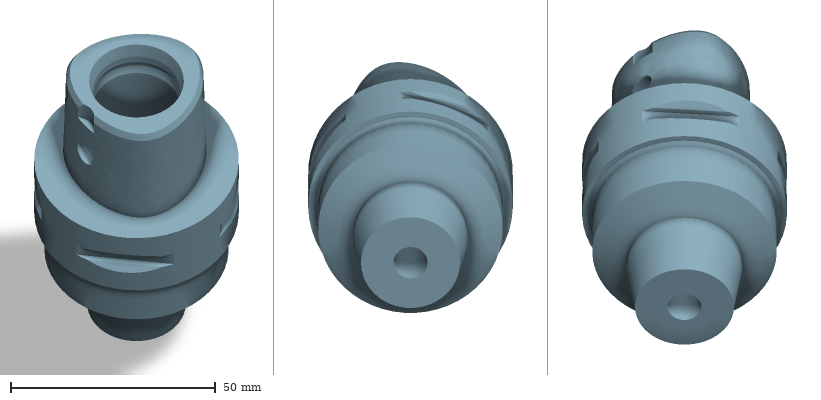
import cadquery as cq
import math

total_height = 85.0
nose_cone_top = 14.4
neck_top = 17.2
body_bottom = 21.0
body_top = 34.0
flange_bottom = 35.0
flange_top = 55.0

nose_radius = 12.1
neck_radius = 14.0
body_radius = 22.5
relief_radius = 23.55
flange_radius = 25.0

shank_radius = 17.5
lobe_height = 1.0
taper_ratio = 1 / 20
chamfer_height = 1.6
chamfer_depth = 0.9
outline_steps = 48

mouth_radius = 11.6
throat_radius = 10.5
mouth_depth = 3.4
groove_radius = 11.6
groove_top_depth = 5.5
groove_wall_bottom_depth = 7.9
groove_bottom_depth = 9.7
throat_bottom_depth = 30.0
inner_radius = 7.3
inner_depth = 34.0
through_radius = 4.2

notch_radius = 4.1
notch_center_y = -18.3
notch_depth = 5.35
cross_hole_radius = 3.1
cross_hole_height = 69.1

slot_count = 4
slot_floor_distance = 21.9
slot_flare_distance = 23.2
slot_height = 45.05
slot_floor_width = 4.1
slot_mouth_width = 6.9


def make_turned_body():
    """Nose, neck, body and flange as one revolved profile."""
    profile = [
        (0, 0),
        (nose_radius, 0),
        (neck_radius, nose_cone_top),
        (neck_radius, neck_top),
        (body_radius, body_bottom),
        (body_radius, body_top),
        (relief_radius, flange_bottom),
        (flange_radius, flange_bottom),
        (flange_radius, flange_top),
        (0, flange_top),
    ]
    return cq.Workplane("XZ").polyline(profile).close().revolve(360, (0, 0), (0, 1))


def shank_outline(radius, height):
    """Closed constant-width outline: its tangents lie at radius - lobe_height * cos(3 * angle)."""
    points = []
    for step in range(outline_steps):
        angle = 2 * math.pi * step / outline_steps
        reach = radius - lobe_height * math.cos(3 * angle)
        slide = 3 * lobe_height * math.sin(3 * angle)
        x = reach * math.sin(angle) + slide * math.cos(angle)
        y = slide * math.sin(angle) - reach * math.cos(angle)
        points.append(cq.Vector(x, y, height))
    return cq.Wire.assembleEdges([cq.Edge.makeSpline(points, periodic=True)])


def make_shank():
    """Tapered shank with a chamfer around its top."""
    chamfer_bottom = total_height - chamfer_height
    upper_radius = shank_radius - (chamfer_bottom - flange_top) * taper_ratio / 2
    base = shank_outline(shank_radius, flange_top)
    shoulder = shank_outline(upper_radius, chamfer_bottom)
    tip = shank_outline(upper_radius - chamfer_depth, total_height)
    taper = cq.Solid.makeLoft([base, shoulder], True)
    chamfer = cq.Solid.makeLoft([shoulder, tip], True)
    return cq.Workplane(taper).union(cq.Workplane(chamfer))


def make_bore():
    """Stepped bore with an inner groove, ending in a through hole."""
    profile = [
        (0, 0),
        (through_radius, 0),
        (through_radius, total_height - inner_depth),
        (inner_radius, total_height - inner_depth),
        (inner_radius, total_height - throat_bottom_depth),
        (throat_radius, total_height - throat_bottom_depth),
        (throat_radius, total_height - groove_bottom_depth),
        (groove_radius, total_height - groove_wall_bottom_depth),
        (groove_radius, total_height - groove_top_depth),
        (throat_radius, total_height - groove_top_depth),
        (throat_radius, total_height - mouth_depth),
        (mouth_radius, total_height),
        (0, total_height),
    ]
    return cq.Workplane("XZ").polyline(profile).close().revolve(360, (0, 0), (0, 1))


def make_key_notch():
    return (
        cq.Workplane("XY", origin=(0, notch_center_y, total_height - notch_depth))
        .circle(notch_radius)
        .extrude(notch_depth)
    )


def make_cross_hole():
    """Radial hole from the flat side of the shank into the bore."""
    return (
        cq.Workplane("XZ", origin=(0, 0, cross_hole_height))
        .circle(cross_hole_radius)
        .extrude(flange_radius)
    )


def make_gripper_slot(angle):
    """Flat-floored slot across the flange whose straight sides flare at the mouth."""
    floor_half = slot_floor_width / 2
    mouth_half = slot_mouth_width / 2
    section = [
        (slot_floor_distance, slot_height - floor_half),
        (slot_flare_distance, slot_height - floor_half),
        (flange_radius, slot_height - mouth_half),
        (flange_radius, slot_height + mouth_half),
        (slot_flare_distance, slot_height + floor_half),
        (slot_floor_distance, slot_height + floor_half),
    ]
    slot = cq.Workplane("XZ").polyline(section).close().extrude(flange_radius, both=True)
    return slot.rotate((0, 0, 0), (0, 0, 1), angle)


result = make_turned_body().union(make_shank())
result = result.cut(make_bore()).cut(make_key_notch()).cut(make_cross_hole())
for index in range(slot_count):
    result = result.cut(make_gripper_slot((index + 0.5) * 360 / slot_count))